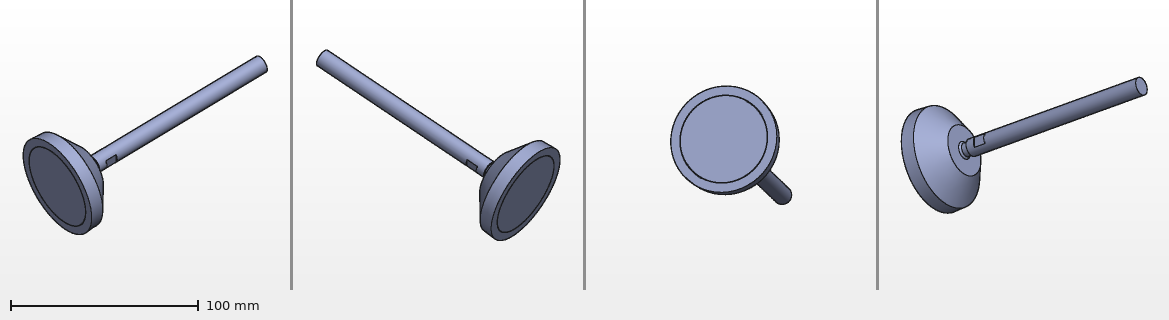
import cadquery as cq
import math

total_length = 140.0

foot_diameter = 58.0
rim_height = 8.0
rim_draft_angle = 3.0
foot_height = 20.0
shoulder_angle = 50.0
rim_taper = rim_height * math.tan(math.radians(rim_draft_angle))
shoulder_taper = (foot_height - rim_height) * math.tan(math.radians(shoulder_angle))
rim_top_diameter = foot_diameter - 2 * rim_taper
foot_top_diameter = rim_top_diameter - 2 * shoulder_taper

shaft_diameter = 10.0
neck_diameter = 7.8
flare_height = (shaft_diameter - neck_diameter) / 2
shaft_start = 25.0
flats_start = 30.0
flats_length = 7.0
width_across_flats = 8.0

recess_diameter = 48.0
pad_diameter = 47.5
pad_thickness = 3.0


def disc(diameter, thickness):
    """Disc on the Y axis, from the underside of the foot upwards (+Y)."""
    return cq.Workplane("XZ").circle(diameter / 2).extrude(-thickness)


def stem_and_foot_blank():
    """Foot and stem turned about the Y axis."""
    profile = [
        (0, 0),
        (foot_diameter / 2, 0),
        (rim_top_diameter / 2, rim_height),
        (foot_top_diameter / 2, foot_height),
        (shaft_diameter / 2, foot_height),
        (neck_diameter / 2, foot_height + flare_height),
        (neck_diameter / 2, shaft_start),
        (shaft_diameter / 2, shaft_start),
        (shaft_diameter / 2, total_length),
        (0, total_length),
    ]
    return cq.Workplane("XY").polyline(profile).close().revolve(360, (0, 0, 0), (0, 1, 0))


def wrench_flat_cutter(side):
    """Block outside one wrench flat; side is +1 or -1 along X."""
    block_width = shaft_diameter
    center_x = side * (width_across_flats + block_width) / 2
    center_y = flats_start + flats_length / 2
    block = cq.Workplane("XY").box(block_width, flats_length, shaft_diameter)
    return block.translate((center_x, center_y, 0))


foot = stem_and_foot_blank().cut(disc(recess_diameter, pad_thickness))
for side in (-1, 1):
    foot = foot.cut(wrench_flat_cutter(side))

pad = disc(pad_diameter, pad_thickness)

result = cq.Compound.makeCompound([foot.val(), pad.val()])